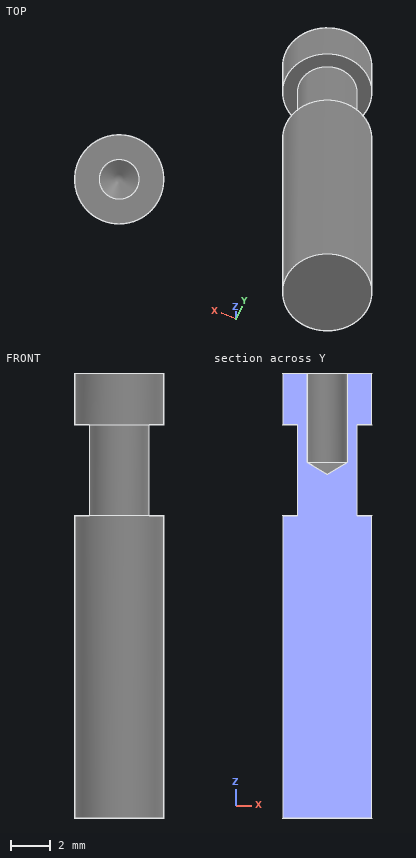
import cadquery as cq
import math

total_length = 22.4
outer_diameter = 4.5
neck_diameter = 3.0
head_length = 2.6
body_length = 15.23
neck_length = total_length - body_length - head_length

hole_diameter = 2.0
hole_depth = 4.48
drill_point_angle = 118


def cylinder(diameter, length, base_z):
    """Solid cylinder on the Z axis, rising from base_z."""
    return cq.Workplane("XY").workplane(offset=base_z).circle(diameter / 2).extrude(length)


def drilled_hole():
    """Cutter for a hole from the top face, ending in a conical drill point."""
    radius = hole_diameter / 2
    point_depth = radius / math.tan(math.radians(drill_point_angle / 2))
    shoulder_z = total_length - hole_depth
    return (
        cq.Workplane("XZ")
        .moveTo(0, total_length)
        .lineTo(radius, total_length)
        .lineTo(radius, shoulder_z)
        .lineTo(0, shoulder_z - point_depth)
        .close()
        .revolve(360, (0, 0, 0), (0, 1, 0))
    )


body = cylinder(outer_diameter, body_length, 0)
neck = cylinder(neck_diameter, neck_length, body_length)
head = cylinder(outer_diameter, head_length, body_length + neck_length)

result = body.union(neck).union(head).cut(drilled_hole())